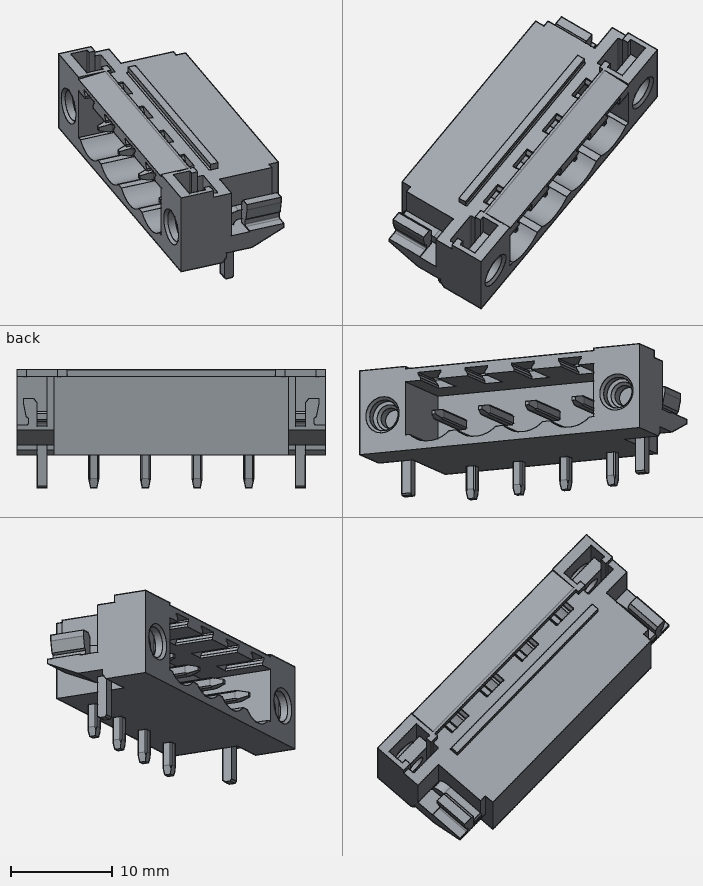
import cadquery as cq
import math


length = 30.32
depth = 12.0
deck_z = 7.7
rim_z = 8.43
half_length = length / 2

contact_count = 4
row_length = 15.22
pitch = row_length / (contact_count - 1)
flange_x = row_length / 2 + pitch
contact_xs = [i * pitch - row_length / 2 for i in range(contact_count)]
sides = (-1, 1)

wire = 1.0
tail_z = -3.2

cavity_width = 20.45
cavity_depth = 7.58
cavity_floor_z = 1.55
cavity_ceiling_z = 6.88
scallop_radius = 3.18
scallop_z = 3.9

keyway_top_width = 2.43
keyway_bottom_width = 1.88
keyway_upper_z = 7.52
keyway_lower_z = 7.13
keyway_depth = 4.12

rim_end_depth = 3.5
rim_middle_depth = 3.12
rim_slope_depth = 2.85
rim_front_z = 8.2

rib_front_y = 5.3
rib_rear_y = 6.1
rib_top_z = 8.35
rib_foot = 0.15

rear_block_width = 22.98
flange_depth = 5.4
wing_rear_y = 11.0
wing_rear_z = 2.5
wing_slope_y = 7.58
wing_under_z = 1.0
wing_front_y = 4.85
wing_bevel_y = 4.43
wing_bevel_z = 0.5
wing_floor_z = 2.85
wing_wall_x = flange_x - wire / 2

post_front_y = 7.35
post_inner_x = flange_x + wire / 2
post_top_inner_x = 13.52
post_outer_x = 14.5
post_under_x = 14.25
post_neck_x = 14.05
post_base_z = 2.95
post_top_z = 5.58
post_inner_z = 5.15
post_slope_z = 4.97
post_under_z = 3.8
post_neck_z = 3.6
post_root_radius = 0.18

lock_leg_y = 5.97
lock_arm_z = 3.8
lock_rear_y = 11.2
lock_bend_radius = 1.55
lock_end_chamfer = 0.18

contact_z = 3.8
contact_leg_y = 9.95
contact_edge_chamfer = 0.15
contact_front_y = 0.97
contact_tip_length = 1.33
contact_tip_width = 0.35
tail_tip_length = 0.9
tail_tip_width = 0.65

screw_z = 3.8
hole_diameter = 3.05
hole_mouth_diameter = 3.6
hole_mouth_depth = 0.3
nut_width = 3.95
nut_front_y = 1.52
nut_bore_diameter = 2.0
nut_mouth_diameter = 2.58
nut_mouth_depth = (nut_mouth_diameter - nut_bore_diameter) / 2

pocket_front_y = 1.1
pocket_shoulder_y = 2.85
pocket_neck_width = 3.03
pocket_rear_width = 3.58
pocket_rear_y = 4.2
pocket_corner_radius = 0.1
pocket_floor_z = screw_z - nut_width / 2


def block(x_range, y_range, z_range):
    """A box given by its limits along each axis."""
    (x0, x1), (y0, y1), (z0, z1) = x_range, y_range, z_range
    return cq.Workplane("XY").box(x1 - x0, y1 - y0, z1 - z0, centered=False).translate((x0, y0, z0))


def centred_block(x, width, y_range, z_range):
    """A box centred on x."""
    return block((x - width / 2, x + width / 2), y_range, z_range)


def along_x(points, width):
    """A (Y, Z) outline extruded to a width centred on the middle plane."""
    return cq.Workplane("YZ").polyline(points).close().extrude(width / 2, both=True)


def countersunk_hole(diameter, hole_depth, mouth_diameter, mouth_depth):
    """A round cutter running in +Y from the origin, with a conical mouth."""
    hole = cq.Workplane("XZ").circle(diameter / 2).extrude(-hole_depth)
    mouth = cq.Solid.makeCone(
        mouth_diameter / 2, diameter / 2, mouth_depth,
        pnt=cq.Vector(0, 0, 0), dir=cq.Vector(0, 1, 0),
    )
    return hole.union(cq.Workplane(mouth))


def tapered_bar(bar_length, tip_length, tip_width):
    """A square wire rising in +Z from its tapered tip, with chamfered long edges."""
    bar = cq.Workplane("XY").rect(wire, wire).extrude(bar_length).edges("|Z").chamfer(contact_edge_chamfer)
    tip = (
        cq.Workplane("XY")
        .rect(tip_width, tip_width)
        .workplane(offset=tip_length)
        .rect(wire, wire)
        .loft()
    )
    shank = cq.Workplane("XY", origin=(0, 0, tip_length)).rect(wire, wire).extrude(bar_length - tip_length)
    return bar.intersect(tip.union(shank))


def on_side(shape, side):
    """The shape itself on the +X side, or its mirror image on the -X side."""
    return shape if side > 0 else shape.mirror("YZ")


def main_shell():
    """Side profile of the full-length part with the narrower rear block behind it."""
    profile = [
        (0, 0), (wing_bevel_y, 0), (wing_front_y, wing_bevel_z), (wing_front_y, wing_under_z),
        (wing_slope_y, wing_under_z), (wing_rear_y, wing_rear_z), (wing_rear_y, deck_z), (0, deck_z),
    ]
    return along_x(profile, length).union(centred_block(0, rear_block_width, (0, depth), (0, deck_z)))


def rim():
    """Raised front rim, sloping down to the mating face between the flanges."""
    slope = [
        (0, deck_z), (0, rim_front_z), (rim_slope_depth, rim_z),
        (rim_middle_depth, rim_z), (rim_middle_depth, deck_z),
    ]
    raised = along_x(slope, cavity_width)
    for side in sides:
        end = block((cavity_width / 2, half_length), (0, rim_end_depth), (deck_z, rim_z))
        raised = raised.union(on_side(end, side))
    return raised


def deck_rib():
    """Rib on the deck with a small bevel along its front foot."""
    outline = [
        (rib_rear_y, deck_z), (rib_rear_y, rib_top_z), (rib_front_y, rib_top_z),
        (rib_front_y, deck_z + rib_foot), (rib_front_y - rib_foot, deck_z),
    ]
    return along_x(outline, cavity_width)


def mating_cavity():
    """Plug cavity with a scalloped floor under each contact."""
    cavity = centred_block(0, cavity_width, (0, cavity_depth), (cavity_floor_z, cavity_ceiling_z))
    for x in contact_xs:
        scallop = cq.Workplane("XZ").center(x, scallop_z).circle(scallop_radius).extrude(-cavity_depth)
        below_floor = centred_block(x, pitch, (0, cavity_depth), (0, cavity_floor_z))
        cavity = cavity.union(scallop.intersect(below_floor))
    return cavity


def keyway(x):
    """Tapered groove in the cavity ceiling, open to the deck behind the rim."""
    top = keyway_top_width / 2
    bottom = keyway_bottom_width / 2
    outline = [
        (-bottom, cavity_ceiling_z), (-bottom, keyway_lower_z), (-top, keyway_upper_z), (-top, deck_z),
        (top, deck_z), (top, keyway_upper_z), (bottom, keyway_lower_z), (bottom, cavity_ceiling_z),
    ]
    return cq.Workplane("XZ").polyline(outline).close().extrude(-keyway_depth).translate((x, 0, 0))


def screw_hole():
    """Countersunk hole through the flange front into the nut pocket."""
    hole = countersunk_hole(hole_diameter, pocket_front_y, hole_mouth_diameter, hole_mouth_depth)
    return hole.translate((flange_x, 0, screw_z))


def nut_pocket():
    """Stepped slot that takes the nut from above."""
    z_range = (pocket_floor_z, rim_z)
    front = centred_block(flange_x, nut_width, (pocket_front_y, pocket_shoulder_y), z_range)
    neck = centred_block(flange_x, pocket_neck_width, (pocket_shoulder_y, rim_end_depth), z_range)
    rear = centred_block(flange_x, pocket_rear_width, (rim_end_depth, pocket_rear_y), z_range)
    rear = rear.edges("|Z and >Y").fillet(pocket_corner_radius)
    return front.union(neck).union(rear)


def wing_recess():
    """Space above the wing, outside the housing wall."""
    return block((wing_wall_x, half_length), (flange_depth, wing_rear_y), (wing_floor_z, deck_z))


def snap_post():
    """Hooked post on a low step of the wing floor, with a filleted outer root."""
    root_x = post_neck_x + post_root_radius
    outline = (
        cq.Workplane("XZ")
        .moveTo(post_inner_x, wing_floor_z)
        .lineTo(post_inner_x, post_inner_z)
        .lineTo(post_top_inner_x, post_top_z)
        .lineTo(post_outer_x, post_top_z)
        .lineTo(post_outer_x, post_slope_z)
        .lineTo(post_under_x, post_under_z)
        .lineTo(post_neck_x, post_neck_z)
        .lineTo(post_neck_x, post_base_z + post_root_radius)
        .tangentArcPoint((root_x, post_base_z), relative=False)
        .lineTo(half_length, post_base_z)
        .lineTo(half_length, wing_floor_z)
        .close()
    )
    return outline.extrude(post_front_y - wing_rear_y).translate((0, post_front_y, 0))


def make_contact():
    """Right-angle contact at x = 0: a tapered plug pin and a tapered solder tail."""
    arm_length = contact_leg_y + wire / 2 - contact_front_y
    leg_length = contact_z + wire / 2 - tail_z
    arm = tapered_bar(arm_length, contact_tip_length, contact_tip_width)
    arm = arm.rotate((0, 0, 0), (1, 0, 0), -90).translate((0, contact_front_y, contact_z))
    leg = tapered_bar(leg_length, tail_tip_length, tail_tip_width).translate((0, contact_leg_y, tail_z))
    return arm.union(leg)


def make_board_lock():
    """Bent square wire: an arm beside the snap post and a leg down through the wing."""
    half = wire / 2
    inner_radius = lock_bend_radius - wire
    leg_front_y = lock_leg_y - half
    leg_rear_y = lock_leg_y + half
    arm_top_z = lock_arm_z + half
    arm_bottom_z = lock_arm_z - half
    bend_y = leg_front_y + lock_bend_radius
    bend_z = arm_top_z - lock_bend_radius
    diagonal = math.sqrt(0.5)
    lock = (
        cq.Workplane("YZ")
        .moveTo(leg_front_y, tail_z)
        .lineTo(leg_front_y, bend_z)
        .threePointArc(
            (bend_y - lock_bend_radius * diagonal, bend_z + lock_bend_radius * diagonal),
            (bend_y, arm_top_z),
        )
        .lineTo(lock_rear_y, arm_top_z)
        .lineTo(lock_rear_y, arm_bottom_z)
        .lineTo(bend_y, arm_bottom_z)
        .threePointArc(
            (bend_y - inner_radius * diagonal, bend_z + inner_radius * diagonal),
            (leg_rear_y, bend_z),
        )
        .lineTo(leg_rear_y, tail_z)
        .close()
        .extrude(half, both=True)
    )
    lock = lock.faces(">Y or <Z").edges("|X").chamfer(lock_end_chamfer)
    return lock.translate((flange_x, 0, 0))


def make_nut():
    """Square nut seated against the pocket shoulder, with a countersunk bore."""
    z_range = (pocket_floor_z, pocket_floor_z + nut_width)
    body = centred_block(flange_x, nut_width, (nut_front_y, pocket_shoulder_y), z_range)
    thickness = pocket_shoulder_y - nut_front_y
    bore = countersunk_hole(nut_bore_diameter, thickness, nut_mouth_diameter, nut_mouth_depth)
    return body.cut(bore.translate((flange_x, nut_front_y, screw_z)))


def make_housing(inserts):
    """Housing with seats cut for the wire parts that pass through it."""
    body = main_shell().union(rim()).union(deck_rib()).cut(mating_cavity())
    for x in contact_xs:
        body = body.cut(keyway(x))
    for side in sides:
        for opening in (nut_pocket(), screw_hole(), wing_recess()):
            body = body.cut(on_side(opening, side))
        body = body.union(on_side(snap_post(), side))
    for insert in inserts:
        body = body.cut(insert)
    return body


contacts = [make_contact().translate((x, 0, 0)) for x in contact_xs]
board_locks = [on_side(make_board_lock(), side) for side in sides]
nuts = [on_side(make_nut(), side) for side in sides]
housing = make_housing(contacts + board_locks)

result = cq.Compound.makeCompound([
    housing.val(),
    *[contact.val() for contact in contacts],
    *[lock.val() for lock in board_locks],
    *[nut.val() for nut in nuts],
])